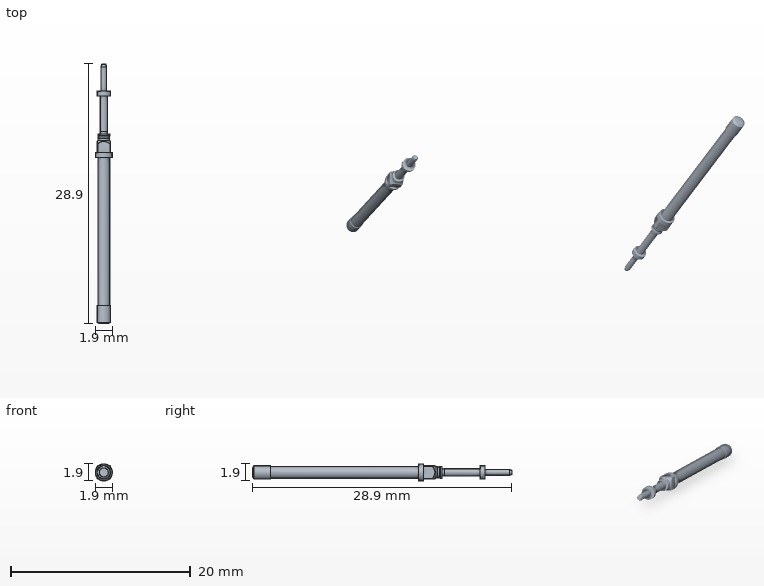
import cadquery as cq

total_length = 28.9

tip_diameter = 0.65
disc_diameter = 1.5
shank_diameter = 0.85
neck_diameter = 0.78
collar_diameter = 1.35
groove_diameter = 1.15
head_shoulder_diameter = 1.3
flange_diameter = 1.9
barrel_diameter = 1.35
end_cap_diameter = 1.5

tip_length = 3.0
disc_thickness = 0.55
shank_length = 3.95
neck_length = 0.3
collar_length = 0.3
groove_length = 0.2
head_shoulder_length = 0.2
head_length = 1.35
flange_thickness = 0.55
end_cap_length = 2.0
barrel_length = total_length - end_cap_length - (
    tip_length + disc_thickness + shank_length + neck_length + collar_length
    + groove_length + head_shoulder_length + head_length + flange_thickness
)

tip_chamfer_length = 0.3
tip_chamfer_depth = 0.1
collar_chamfer_length = 0.15
collar_chamfer_depth = 0.05
end_chamfer_length = 0.15
end_chamfer_depth = 0.25

head_width = 1.5
head_corner_diameter = 2.0
head_nose_length = (head_corner_diameter - head_shoulder_diameter) / 2

tip_y = total_length / 2


def frustum(front_diameter, rear_diameter, start_y, length):
    """Round section on the Y axis running from start_y toward -Y, straight or tapered."""
    end_y = start_y - length
    profile = [
        (0, start_y),
        (front_diameter / 2, start_y),
        (rear_diameter / 2, end_y),
        (0, end_y),
    ]
    return cq.Workplane("XY").polyline(profile).close().revolve(360, (0, 0), (0, 1))


def square_head(start_y):
    """Square head whose corners and front nose are turned."""
    nose = frustum(head_shoulder_diameter, head_corner_diameter, start_y, head_nose_length)
    body_start_y = start_y - head_nose_length
    body_length = head_length - head_nose_length
    body = frustum(head_corner_diameter, head_corner_diameter, body_start_y, body_length)
    face = cq.Workplane("XZ", origin=(0, start_y, 0))
    square_bar = face.rect(head_width, head_width).extrude(head_length)
    return nose.union(body).intersect(square_bar)


def add_round_sections(solid, start_y, sections):
    """Stack (front diameter, rear diameter, length) sections; return the solid and its new rear Y."""
    for front_diameter, rear_diameter, length in sections:
        solid = solid.union(frustum(front_diameter, rear_diameter, start_y, length))
        start_y -= length
    return solid, start_y


tip_nose_diameter = tip_diameter - 2 * tip_chamfer_depth
collar_rear_diameter = collar_diameter - 2 * collar_chamfer_depth
front_sections = [
    (tip_diameter, tip_diameter, tip_length - tip_chamfer_length),
    (disc_diameter, disc_diameter, disc_thickness),
    (shank_diameter, shank_diameter, shank_length),
    (neck_diameter, shank_diameter, neck_length),
    (collar_diameter, collar_diameter, collar_length - collar_chamfer_length),
    (collar_diameter, collar_rear_diameter, collar_chamfer_length),
    (groove_diameter, head_shoulder_diameter, groove_length),
    (head_shoulder_diameter, head_shoulder_diameter, head_shoulder_length),
]
tip_nose = frustum(tip_nose_diameter, tip_diameter, tip_y, tip_chamfer_length)
result, section_y = add_round_sections(tip_nose, tip_y - tip_chamfer_length, front_sections)

result = result.union(square_head(section_y))
section_y -= head_length

end_face_diameter = end_cap_diameter - 2 * end_chamfer_depth
rear_sections = [
    (flange_diameter, flange_diameter, flange_thickness),
    (barrel_diameter, barrel_diameter, barrel_length),
    (end_cap_diameter, end_cap_diameter, end_cap_length - end_chamfer_length),
    (end_cap_diameter, end_face_diameter, end_chamfer_length),
]
result = add_round_sections(result, section_y, rear_sections)[0]